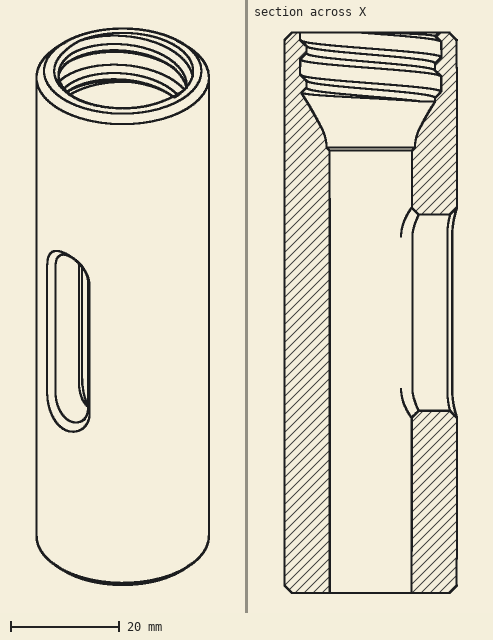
import cadquery as cq
import math

length = 103.08
outer_diameter = 31.75
bore_diameter = 15.0
end_chamfer = 1.4

thread_minor_diameter = 23.62
thread_major_diameter = 25.91
thread_pitch = 6.35
thread_flank_height = 1.1
thread_root_width = 2.8
thread_depth_turns = 2.75
thread_runout_turns = 0.5
thread_start_angle = 180.0
entry_chamfer = 0.8

seat_depth = 12.7
seat_half_angle = 30.0
throat_diameter = 16.2
cone_end_diameter = 18.2

slot_width = 7.94
slot_length = 36.0
slot_rim_chamfer = 1.3

outer_radius = outer_diameter / 2
bore_radius = bore_diameter / 2
minor_radius = thread_minor_diameter / 2
major_radius = thread_major_diameter / 2
throat_radius = throat_diameter / 2
cone_end_radius = cone_end_diameter / 2

seat_slope = 1 / math.tan(math.radians(seat_half_angle))
cone_end_height = length - seat_depth - (minor_radius - cone_end_radius) * seat_slope
rounding_radius = (cone_end_radius - throat_radius) / (1 - math.cos(math.radians(seat_half_angle)))
throat_height = cone_end_height - rounding_radius * math.sin(math.radians(seat_half_angle))
seat_bottom = throat_height - (throat_radius - bore_radius)


def make_barrel():
    return (
        cq.Workplane("XY")
        .circle(outer_radius)
        .extrude(length)
        .edges()
        .chamfer(end_chamfer)
        .faces(">Z")
        .workplane()
        .hole(bore_diameter)
    )


def cut_side_slot(body):
    """Cut a vertical round-ended slot into the bore and bevel both of its rims."""
    slot = (
        cq.Workplane("XZ", origin=(0, 0, length / 2))
        .slot2D(slot_length, slot_width, 90)
        .extrude(outer_diameter)
    )
    slotted = body.cut(slot)
    slot_zone = cq.selectors.BoxSelector(
        (-slot_width, -outer_radius, (length - slot_length) / 2),
        (slot_width, -bore_radius, (length + slot_length) / 2),
    )
    rims = slotted.faces(slot_zone).edges("not |Y")
    return rims.chamfer(slot_rim_chamfer)


def cut_socket(body):
    """Bore the top end to the thread's minor diameter, with a lead-in bevel at the mouth."""
    entry_radius = minor_radius + entry_chamfer
    socket = (
        cq.Workplane("XZ")
        .moveTo(0, length)
        .lineTo(entry_radius, length)
        .lineTo(minor_radius, length - entry_chamfer)
        .lineTo(minor_radius, seat_bottom)
        .lineTo(0, seat_bottom)
        .close()
        .revolve(360, (0, 0, 0), (0, 1, 0))
    )
    return body.cut(socket)


def cut_thread(body):
    """Cut the helical groove; its flanks are carried a little inside the minor diameter."""
    overlap = 0.3
    inner_radius = minor_radius - overlap
    flank_slope = thread_flank_height / (major_radius - minor_radius)
    half_root = thread_root_width / 2
    half_mouth = half_root + flank_slope * (major_radius - inner_radius)
    turns = thread_depth_turns + thread_runout_turns
    helix = cq.Wire.makeHelix(thread_pitch, thread_pitch * turns, major_radius)
    groove = (
        cq.Workplane("XZ")
        .moveTo(inner_radius, -half_mouth)
        .lineTo(major_radius, -half_root)
        .lineTo(major_radius, half_root)
        .lineTo(inner_radius, half_mouth)
        .close()
        .sweep(cq.Workplane(helix), isFrenet=True)
        .rotate((0, 0, 0), (0, 0, 1), thread_start_angle)
        .translate((0, 0, length - thread_pitch * thread_depth_turns))
    )
    return body.cut(groove)


def add_seat(body):
    """Close the foot of the socket with a ring that is embedded in the barrel wall."""
    embedded_radius = (major_radius + outer_radius) / 2
    cone_start_height = length - seat_depth + (embedded_radius - minor_radius) * seat_slope
    seat = (
        cq.Workplane("XZ")
        .moveTo(embedded_radius, cone_start_height)
        .lineTo(cone_end_radius, cone_end_height)
        .tangentArcPoint((throat_radius, throat_height), relative=False)
        .lineTo(bore_radius, seat_bottom)
        .lineTo(embedded_radius, seat_bottom)
        .close()
        .revolve(360, (0, 0, 0), (0, 1, 0))
    )
    return body.union(seat)


body = cut_side_slot(make_barrel())
body = cut_socket(body)
body = cut_thread(body)
result = add_seat(body)